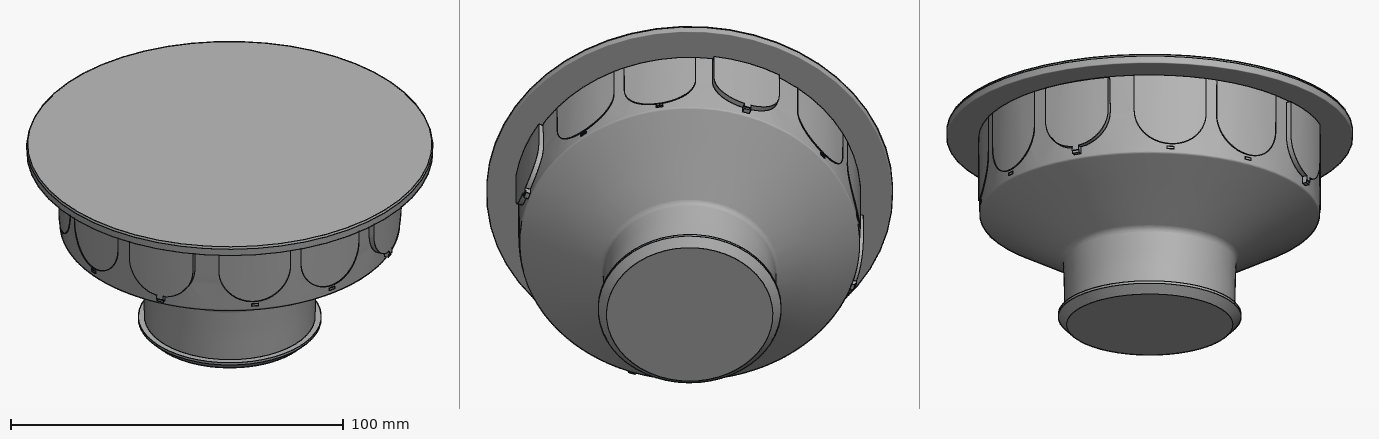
import cadquery as cq
import math

HEIGHT = 63.37
FLANGE_RADIUS = 61.04
FLANGE_THICKNESS = 3.0
TOP_BEVEL_WIDTH = 0.3
TOP_BEVEL_HEIGHT = 0.7
FLANGE_UNDER_FILLET = 0.25

BODY_TOP_RADIUS = 51.4
BODY_BOTTOM_RADIUS = 51.1
BODY_BOTTOM_DEPTH = 28.0
CONE_SLOPE = 30.0
BODY_EDGE_FILLET = 0.8

NECK_TOP_RADIUS = 26.0
NECK_BOTTOM_RADIUS = 25.68
NECK_FILLET = 1.9
LIP_RADIUS = 27.5
LIP_HEIGHT = 3.3
LIP_RIM = 0.8
LIP_BOTTOM_RADIUS = 25.0

RAISED_PAD_TOP_DEPTH = 3.7
PAD_ARC_DEPTH = 14.1
RAISED_PAD_RADIUS = 52.75
RAISED_PAD_HALF_WIDTH = 10.4
RAISED_PAD_ANGLE = 45.0
FLUSH_PAD_TOP_DEPTH = FLANGE_THICKNESS
FLUSH_PAD_RADIUS = BODY_TOP_RADIUS
FLUSH_PAD_HALF_WIDTH = 10.9
FLUSH_PAD_ANGLES = (15.4, -12.9)
QUADRANTS = 4

TAB_WIDTH = 2.1
TAB_STEP_DEPTH = 25.8
TAB_BOTTOM_DEPTH = 26.6
TAB_SETBACK = 0.3
FLUSH_TAB_RADIUS = 51.25

PAD_ROOT_RADIUS = 45.0

EDGE_TOLERANCE = 0.01


def level(depth):
    """Height of a point given its depth below the top face."""
    return HEIGHT - depth


def make_body():
    """Turned shape: flange, bowl, cone, neck and lip."""
    cone_drop = (BODY_BOTTOM_RADIUS - NECK_TOP_RADIUS) * math.tan(math.radians(CONE_SLOPE))
    body_bottom_z = level(BODY_BOTTOM_DEPTH)
    neck_top_z = body_bottom_z - cone_drop
    flange_bottom_z = level(FLANGE_THICKNESS)
    body = (
        cq.Workplane("XZ")
        .lineTo(LIP_BOTTOM_RADIUS, 0)
        .lineTo(LIP_RADIUS, LIP_HEIGHT - LIP_RIM)
        .lineTo(LIP_RADIUS, LIP_HEIGHT)
        .lineTo(NECK_BOTTOM_RADIUS, LIP_HEIGHT)
        .lineTo(NECK_TOP_RADIUS, neck_top_z)
        .lineTo(BODY_BOTTOM_RADIUS, body_bottom_z)
        .lineTo(BODY_TOP_RADIUS, flange_bottom_z)
        .lineTo(FLANGE_RADIUS, flange_bottom_z)
        .lineTo(FLANGE_RADIUS, HEIGHT - TOP_BEVEL_HEIGHT)
        .lineTo(FLANGE_RADIUS - TOP_BEVEL_WIDTH, HEIGHT)
        .lineTo(0, HEIGHT)
        .close()
        .revolve(360, (0, 0, 0), (0, 1, 0))
    )
    body = fillet_circle(body, NECK_TOP_RADIUS, neck_top_z, NECK_FILLET)
    body = fillet_circle(body, BODY_BOTTOM_RADIUS, body_bottom_z, BODY_EDGE_FILLET)
    return fillet_circle(body, FLANGE_RADIUS, flange_bottom_z, FLANGE_UNDER_FILLET)


def fillet_circle(body, radius, z, fillet_radius):
    """Round the circular edge of the given radius at height z."""
    def is_wanted(edge):
        same_height = abs(edge.Center().z - z) < EDGE_TOLERANCE
        return same_height and abs(edge.radius() - radius) < EDGE_TOLERANCE

    return body.edges("%CIRCLE").filter(is_wanted).fillet(fillet_radius)


def wrap_to_wall(outline, radius, angle):
    """Extrude an outline toward -Y, cap it with a cylinder face and turn it into place."""
    bar = outline.extrude(radius - PAD_ROOT_RADIUS)
    cylinder = cq.Workplane("XY").circle(radius).extrude(HEIGHT)
    return bar.intersect(cylinder).rotate((0, 0, 0), (0, 0, 1), angle)


def wall_plane():
    """Sketch plane facing -Y just inside the bowl wall, local y = height."""
    return cq.Workplane("XZ", origin=(0, -PAD_ROOT_RADIUS, 0))


def make_pad(top_depth, half_width, radius, angle):
    """Pad with a straight top and a half-round bottom."""
    top_z = level(top_depth)
    arc_z = level(PAD_ARC_DEPTH)
    outline = (
        wall_plane()
        .moveTo(-half_width, top_z)
        .lineTo(-half_width, arc_z)
        .threePointArc((0, arc_z - half_width), (half_width, arc_z))
        .lineTo(half_width, top_z)
        .close()
    )
    return wrap_to_wall(outline, radius, angle)


def make_tab(top_depth, bottom_depth, radius, angle):
    """Small rectangular block on the bowl wall."""
    outline = (
        wall_plane()
        .center(0, level((top_depth + bottom_depth) / 2))
        .rect(TAB_WIDTH, bottom_depth - top_depth)
    )
    return wrap_to_wall(outline, radius, angle)


def raised_features(angle):
    """Raised pad with a two-step tab hanging below it."""
    pad = make_pad(RAISED_PAD_TOP_DEPTH, RAISED_PAD_HALF_WIDTH, RAISED_PAD_RADIUS, angle)
    upper_tab = make_tab(PAD_ARC_DEPTH, TAB_STEP_DEPTH, RAISED_PAD_RADIUS, angle)
    lower_tab = make_tab(TAB_STEP_DEPTH, TAB_BOTTOM_DEPTH, RAISED_PAD_RADIUS - TAB_SETBACK, angle)
    return pad.union(upper_tab).union(lower_tab)


result = make_body()
for quadrant in range(QUADRANTS):
    turn = quadrant * 360 / QUADRANTS
    result = result.union(raised_features(turn + RAISED_PAD_ANGLE))
    for offset in FLUSH_PAD_ANGLES:
        angle = turn + offset
        result = result.union(make_pad(FLUSH_PAD_TOP_DEPTH, FLUSH_PAD_HALF_WIDTH, FLUSH_PAD_RADIUS, angle))
        result = result.union(make_tab(TAB_STEP_DEPTH, TAB_BOTTOM_DEPTH, FLUSH_TAB_RADIUS, angle))